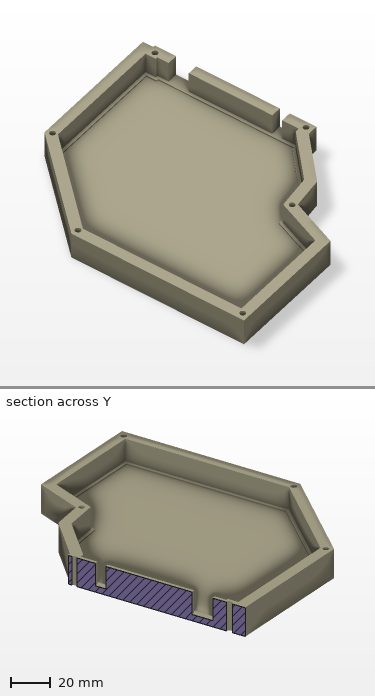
import cadquery as cq

length = 163
width = 136.5
height = 16.3
wall = 6.4

ledge_width = 1.8
ledge_level = 3.7
floor_level = 3.0

corner_notch_depth = 1.3
left_bevel_top = 52.0
bottom_bevel_end = 55.3
back_edge_end = 107.3
back_diagonal_start = 130.0
right_wall_top = 73.0

back_openings = [(19.7, 32.3), (84.5, 90.6)]

hole_diameter = 3.5
hole_centers = [
    (9.8, 132.0),
    (103.3, 133.0),
    (131.7, 83.0),
    (3.6, 54.0),
    (56.4, 4.0),
    (159.3, 4.0),
]

outline = [
    (0, left_bevel_top),
    (bottom_bevel_end, 0),
    (length, 0),
    (length, right_wall_top),
    (133.8, 85.0),
    (131.5, 104.3),
    (back_edge_end, back_diagonal_start),
    (back_edge_end, width),
    (wall, width),
    (wall, width - corner_notch_depth),
    (0, width - corner_notch_depth),
]


def inset_cut(inset, level):
    """Cavity that follows the outline at a constant inset, open above level."""
    profile = cq.Workplane("XY").workplane(offset=level).polyline(outline).close()
    return profile.offset2D(-inset, "intersection").extrude(height - level)


tray = cq.Workplane("XY").polyline(outline).close().extrude(height)

tray = tray.cut(inset_cut(wall, ledge_level))
tray = tray.cut(inset_cut(wall + ledge_width, floor_level))

for start, end in back_openings:
    opening = cq.Workplane("XY").box(end - start, wall, height - ledge_level, centered=False)
    tray = tray.cut(opening.translate((start, width - wall, ledge_level)))

screw_holes = (
    cq.Workplane("XY").pushPoints(hole_centers).circle(hole_diameter / 2).extrude(height)
)
result = tray.cut(screw_holes)